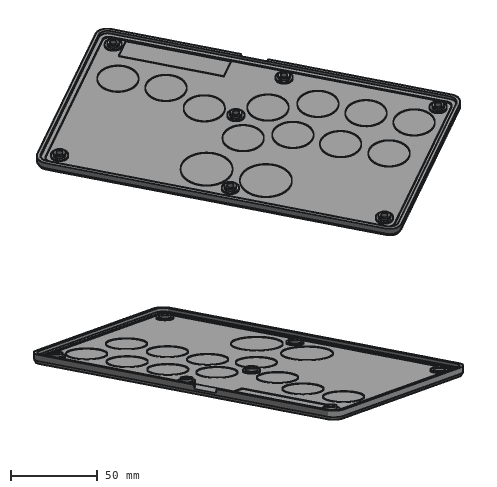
import cadquery as cq

length = 219.8
width = 128.8
height = 5.7
corner_radius = 7.0
bottom_chamfer_height = 2.0
bottom_chamfer_inset = 1.0

rim_width = 2.0
ledge_width = 2.6
opening_length = length - 2 * rim_width
opening_width = width - 2 * rim_width
opening_corner_radius = 5.5
tray_length = opening_length - 2 * ledge_width
tray_width = opening_width - 2 * ledge_width
tray_corner_radius = 3.7
ledge_z = 3.7
floor_z = 2.9

pocket_depth = 0.5
pocket_z = floor_z - pocket_depth
small_pocket_diameter = 24.0
large_pocket_diameter = 30.0
left_group = [(-86.5, 25.5), (-57.5, 25.5), (-31.0, 14.0)]
middle_pair = [(4.0, 25.5), (-1.5, -5.5)]
right_upper_row = [(30.5, 37.1), (59.5, 37.1), (88.5, 37.1)]
right_lower_row = [(25.0, 5.7), (53.8, 5.7), (83.0, 5.7)]
small_pocket_centers = left_group + middle_pair + right_upper_row + right_lower_row
large_pocket_centers = [(-13.5, -39.0), (22.5, -39.0)]

board_left = -92.3
board_right = -28.8
board_front = 45.5
board_rear = tray_width / 2

foot_diameter = 10.0
post_diameter = 7.0
screw_diameter = 4.0
foot_top_z = 3.7
post_top_z = 5.3
screw_columns = [-98.0, 5.0, 98.0]
screw_rows = [-52.3, 53.6]
middle_screw = (-11.5, 12.5)
screw_centers = [(x, y) for x in screw_columns for y in screw_rows] + [middle_screw]

notch_center_x = -16.0
notch_top_length = 16.5
notch_bottom_length = 15.0
notch_depth = 2.5


def rounded_block(size_x, size_y, radius, bottom_z, top_z):
    """Block centered on the Z axis with rounded vertical edges."""
    base = cq.Workplane("XY").workplane(offset=bottom_z)
    return base.rect(size_x, size_y).extrude(top_z - bottom_z).edges("|Z").fillet(radius)


def cylinders(centers, diameter, bottom_z, top_z):
    """Equal upright cylinders standing on the given centers."""
    base = cq.Workplane("XY").workplane(offset=bottom_z).pushPoints(centers)
    return base.circle(diameter / 2).extrude(top_z - bottom_z)


def make_tray():
    """Plate with a chamfered bottom edge and the stepped recess."""
    plate = rounded_block(length, width, corner_radius, 0, height)
    plate = plate.faces("<Z").edges().chamfer(bottom_chamfer_height, bottom_chamfer_inset)
    opening = rounded_block(opening_length, opening_width, opening_corner_radius, ledge_z, height)
    tray = rounded_block(tray_length, tray_width, tray_corner_radius, floor_z, height)
    return plate.cut(opening).cut(tray)


def make_board_pocket():
    """Rectangular block that sinks into the tray floor."""
    size_x = board_right - board_left
    size_y = board_rear - board_front
    block = cq.Workplane("XY").box(size_x, size_y, pocket_depth, centered=False)
    return block.translate((board_left, board_front, pocket_z))


def make_notch():
    """Wedge that slopes the rear rim down toward the outside, with flared ends."""
    notch_z = height - notch_depth
    slope = [(opening_width / 2, height), (width / 2, height), (width / 2, notch_z)]
    ends = [
        (-notch_top_length / 2, height),
        (notch_top_length / 2, height),
        (notch_bottom_length / 2, notch_z),
        (-notch_bottom_length / 2, notch_z),
    ]
    wedge = cq.Workplane("YZ").polyline(slope).close().extrude(notch_top_length / 2, both=True)
    flared_prism = cq.Workplane("XZ").polyline(ends).close().extrude(-width)
    return wedge.intersect(flared_prism).translate((notch_center_x, 0, 0))


result = make_tray()
result = result.cut(cylinders(small_pocket_centers, small_pocket_diameter, pocket_z, floor_z))
result = result.cut(cylinders(large_pocket_centers, large_pocket_diameter, pocket_z, floor_z))
result = result.cut(make_board_pocket())

result = result.union(cylinders(screw_centers, foot_diameter, pocket_z, foot_top_z))
result = result.union(cylinders(screw_centers, post_diameter, pocket_z, post_top_z))
result = result.cut(cylinders(screw_centers, screw_diameter, 0, height))

result = result.cut(make_notch())